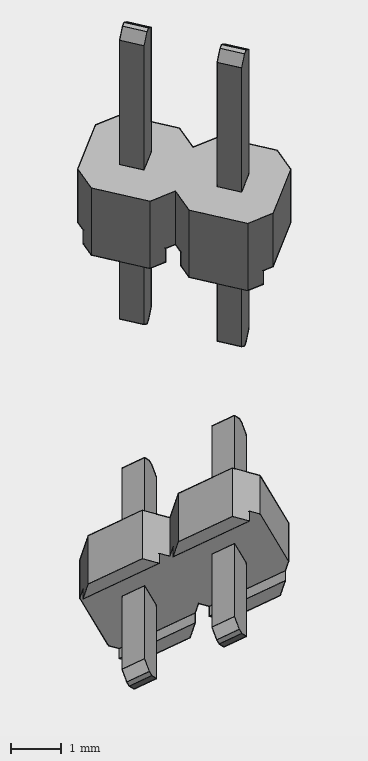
import cadquery as cq


pin_count = 2
body_length = 4.01
body_depth = 2.0
body_height = 2.0
corner_chamfer = 0.4
cell_length = body_length / pin_count

foot_height = 0.41
channel_depth = 1.505

pin_length = 8.7
pin_above_body = 3.9
pin_width = 0.505
pin_pitch = 2.0
tip_chamfer = 0.2


def row_positions(spacing):
    """X positions of a centred row with one place per pin."""
    return [(i - (pin_count - 1) / 2) * spacing for i in range(pin_count)]


def make_cell(x_center):
    """One octagonal cell, cut underneath so that only its two feet reach the bottom."""
    cell = (
        cq.Workplane("XY")
        .box(cell_length, body_depth, body_height, centered=(True, True, False))
        .edges("|Z")
        .chamfer(corner_chamfer)
    )
    channel = cq.Workplane("XY").box(
        cell_length, channel_depth, foot_height, centered=(True, True, False)
    )
    return cell.cut(channel).translate((x_center, 0, -body_height))


def make_pin(x_center):
    """Square pin with both ends chamfered on the front and back only."""
    return (
        cq.Workplane("XY")
        .box(pin_width, pin_width, pin_length, centered=(True, True, False))
        .edges("|X")
        .chamfer(tip_chamfer)
        .translate((x_center, 0, pin_above_body - pin_length))
    )


result = cq.Workplane("XY")
for cell_x in row_positions(cell_length):
    result = result.union(make_cell(cell_x))
for pin_x in row_positions(pin_pitch):
    result = result.union(make_pin(pin_x))